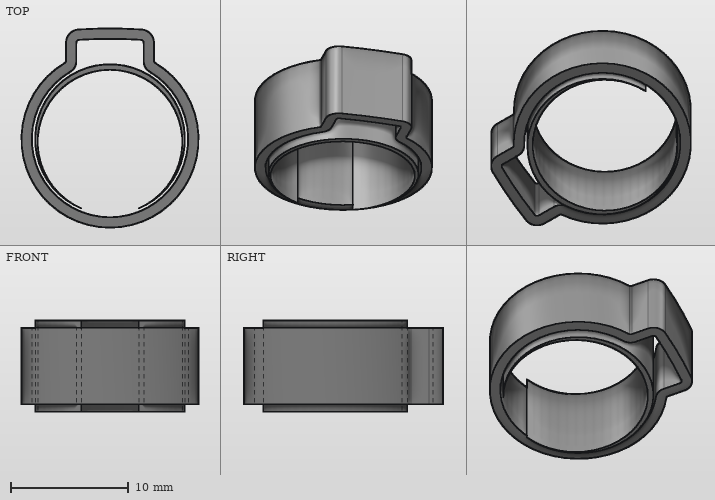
import cadquery as cq
import math

band_diameter = 15.1
band_wall = 0.9
band_height = 6.5
overall_length = 16.99
ear_width = 7.51
ear_crown_radius = 40.78
ear_corner_radius = 1.15
neck_radius = 0.2

liner_outer_radius = 6.39
liner_top_wall = 0.5
liner_height = 7.8
liner_gap = 4.86

band_radius = band_diameter / 2
ear_top_y = overall_length - band_radius
ear_half_width = ear_width / 2
ear_corner_drop = ear_crown_radius - math.sqrt(ear_crown_radius**2 - ear_half_width**2)
ear_corner_y = ear_top_y - ear_corner_drop
neck_y = math.sqrt(band_radius**2 - ear_half_width**2)
gap_half_width = liner_gap / 2
liner_end_y = -math.sqrt(liner_outer_radius**2 - gap_half_width**2)


def slab_plane(height):
    """Workplane at the bottom of a slab of this height centred on Z = 0."""
    return cq.Workplane("XY", origin=(0, 0, -height / 2))


def make_band():
    """Band of even wall thickness that follows the ring and the ear."""
    ear = (
        slab_plane(band_height)
        .moveTo(-ear_half_width, 0)
        .lineTo(-ear_half_width, ear_corner_y)
        .threePointArc((0, ear_top_y), (ear_half_width, ear_corner_y))
        .lineTo(ear_half_width, 0)
        .close()
        .extrude(band_height)
        .edges("|Z")
        .edges(">Y")
        .fillet(ear_corner_radius)
    )
    filled_band = slab_plane(band_height).circle(band_radius).extrude(band_height).union(ear)

    for side in (-1, 1):
        neck_corner = (side * ear_half_width, neck_y, 0)
        filled_band = (
            filled_band.edges("|Z")
            .edges(cq.selectors.NearestToPointSelector(neck_corner))
            .fillet(neck_radius)
        )

    opening = (
        filled_band.faces(">Z")
        .wires()
        .toPending()
        .offset2D(-band_wall, "arc")
        .extrude(-band_height, combine=False)
    )
    return filled_band.cut(opening)


def make_liner():
    """Crescent ring: the inner arc meets the outer arc at both ends."""
    return (
        slab_plane(liner_height)
        .moveTo(-gap_half_width, liner_end_y)
        .threePointArc((0, liner_outer_radius), (gap_half_width, liner_end_y))
        .threePointArc((0, liner_outer_radius - liner_top_wall), (-gap_half_width, liner_end_y))
        .close()
        .extrude(liner_height)
    )


band = make_band()
liner = make_liner()

result = cq.Compound.makeCompound([band.solids().val(), liner.val()])